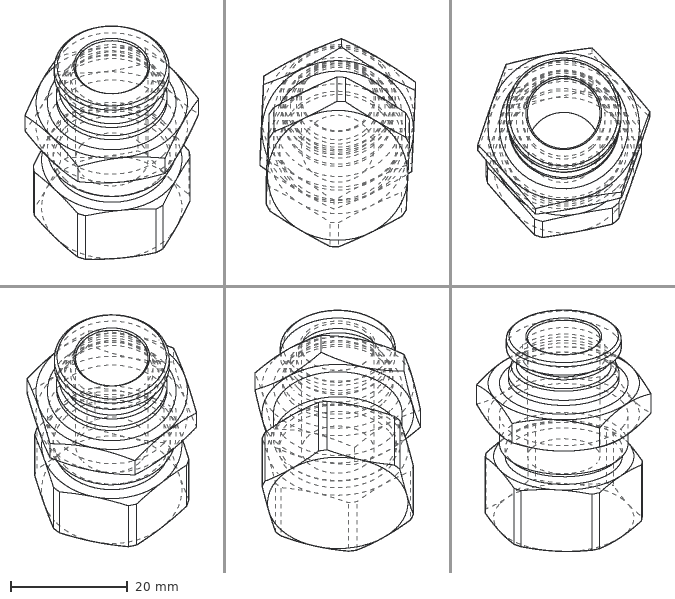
import cadquery as cq
import math

total_height = 35.4
base_hex_top = 12.0
relief_top = 13.5
thread_start = 14.48
nut_bottom = 20.1
nut_top = 26.23
collar_bottom = 27.1
collar_taper_start = 28.1
collar_top = 29.63
ring_top = 31.35
flange_bottom = 33.2

relief_radius = 10.02
thread_radius = 11.0
collar_radius = 9.5
collar_top_radius = 9.0
ring_radius = 8.1
sleeve_radius = 7.08
flange_radius = 9.85
flange_chamfer = 0.5

bore_radius = 6.2
bore_mouth_chamfer = 0.3
bore_floor = base_hex_top

base_hex_flats = 24.0
base_corner_radius = 13.45
base_face_radius = base_hex_flats / 2
base_chamfer_angle = 20.0

nut_flats = 26.0
nut_corner_radius = nut_flats / math.sqrt(3)
nut_face_radius = 12.95
nut_chamfer_angle = 30.0


def revolve_profile(points):
    """Turn a closed (radius, height) outline about the Z axis."""
    return cq.Workplane("XZ").polyline(points).close().revolve(360, (0, 0), (0, 1))


def chamfered_hexagon(flats, bottom, top, corner_radius, face_radius, chamfer_angle):
    """Hexagon with corners on the X axis, trimmed by a cylinder with a cone at each end."""
    corner_diameter = 2 * flats / math.sqrt(3)
    prism = cq.Workplane("XY").workplane(offset=bottom).polygon(6, corner_diameter).extrude(top - bottom)
    drop = (corner_radius - face_radius) * math.tan(math.radians(chamfer_angle))
    envelope = revolve_profile([
        (0, bottom),
        (face_radius, bottom),
        (corner_radius, bottom + drop),
        (corner_radius, top - drop),
        (face_radius, top),
        (0, top),
    ])
    return prism.intersect(envelope)


def turned_body():
    """Stepped body: relief, thread, collar, ring, sleeve and release flange."""
    return revolve_profile([
        (0, 0),
        (relief_radius, 0),
        (relief_radius, relief_top),
        (thread_radius, thread_start),
        (thread_radius, nut_top),
        (collar_radius, collar_bottom),
        (collar_radius, collar_taper_start),
        (collar_top_radius, collar_top),
        (ring_radius, collar_top),
        (ring_radius, ring_top),
        (sleeve_radius, ring_top),
        (sleeve_radius, flange_bottom),
        (flange_radius, flange_bottom),
        (flange_radius, total_height - flange_chamfer),
        (flange_radius - flange_chamfer, total_height),
        (0, total_height),
    ])


def tube_socket():
    """Blind bore with a chamfered mouth."""
    return revolve_profile([
        (0, bore_floor),
        (bore_radius, bore_floor),
        (bore_radius, total_height - bore_mouth_chamfer),
        (bore_radius + bore_mouth_chamfer, total_height),
        (0, total_height),
    ])


base_hexagon = chamfered_hexagon(
    base_hex_flats, 0, base_hex_top, base_corner_radius, base_face_radius, base_chamfer_angle
)
bulkhead_nut = chamfered_hexagon(
    nut_flats, nut_bottom, nut_top, nut_corner_radius, nut_face_radius, nut_chamfer_angle
)

result = turned_body().union(base_hexagon).union(bulkhead_nut).cut(tube_socket())